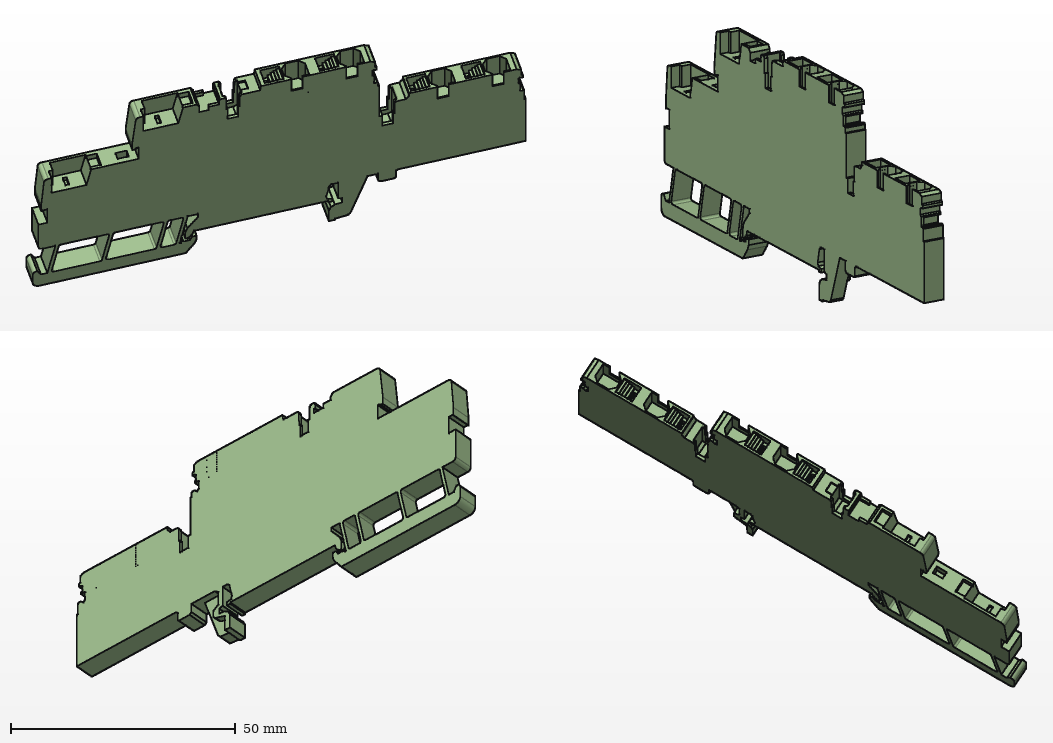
import cadquery as cq


thickness = 5.1
length = 114.39
height = 51.65
left_x = -thickness / 2
right_x = thickness / 2
front_y = -length / 2
back_y = length / 2

body_bottom_z = 12.5
rail_seat_z = 7.0
tier_drop = 13.84
tier_offset = 33.9
lower_top_z = height - tier_drop
upper_shoulder_z = 50.25
lower_shoulder_z = 36.05


def extrude_outline(points, x_start=left_x, x_end=right_x):
    """Prism along X between two X positions, from (y, z) outline points."""
    outline = cq.Workplane("YZ", origin=(x_start, 0, 0)).polyline(points).close()
    return outline.extrude(x_end - x_start)


def box(x_range, y_range, z_range):
    """Axis-aligned box from its three (low, high) ranges."""
    sizes = [high - low for low, high in (x_range, y_range, z_range)]
    corner = (x_range[0], y_range[0], z_range[0])
    return cq.Workplane("XY").box(*sizes, centered=False).translate(corner)


def round_corner(body, y, z, radius):
    """Fillet the outline corner at (y, z)."""
    corner = cq.selectors.NearestToPointSelector((0, y, z))
    return body.edges("|X").edges(corner).fillet(radius)


upper_end_y = 23.25
marker_groove_y = 22.0
marker_ledge_z = 48.55
seat_front_y = -18.5
upper_lug_y = -33.2
lower_lug_y = -54.5
lug_radius = 1.0
housing_front_y = -55.85
housing_corner_radius = 0.9
trench_width = 2.5
trench_ledge = 0.3
trench_shoulder = 3.4
lower_trench = (23.95, 28.75)
upper_trench = (-11.95, 42.95)


def tier_end(y_shift, z_shift):
    """Rear end of a wire tier, from its shoulder up to its top edge."""
    points = [
        (22.95, 43.7),
        (22.7, 43.95),
        (marker_groove_y, 43.95),
        (marker_groove_y, 46.4),
        (21.6, 46.7),
        (21.6, 48.1),
        (22.0, 48.4),
        (22.65, 48.4),
        (22.65, 49.1),
        (22.25, 49.4),
        (22.25, 51.1),
        (21.15, height),
    ]
    return [(y + y_shift, z + z_shift) for y, z in points]


def trench_floor(trench):
    """Lower part of a trench from its rear wall to its front wall, with a small ledge each side."""
    front, floor = trench
    rear = front + trench_width
    ledge = floor + trench_shoulder
    return [
        (rear + trench_ledge, ledge),
        (rear, ledge),
        (rear, floor),
        (front, floor),
        (front, ledge),
        (front - trench_ledge, ledge),
    ]


def housing():
    lower_tier = [
        (back_y, body_bottom_z),
        (back_y, 26.9),
        (56.85, 27.0),
        *tier_end(tier_offset, -tier_drop),
        (30.15, lower_top_z),
        (30.15, 37.0),
        (29.35, lower_shoulder_z),
        (27.6, lower_shoulder_z),
        (27.1, 35.95),
        (26.75, 35.65),
    ]
    upper_tier = [
        (upper_end_y, 42.5),
        (22.95, 42.6),
        *tier_end(0, 0),
        (-4.2, height),
        (-4.4, upper_shoulder_z),
        (-8.75, upper_shoulder_z),
        (-9.1, 49.6),
    ]
    jumper_tiers = [
        (-12.25, 49.8),
        (-12.6, upper_shoulder_z),
        (-13.7, upper_shoulder_z),
        (-13.95, 49.6),
        (-13.95, marker_ledge_z),
        (seat_front_y, marker_ledge_z),
        (seat_front_y, 49.3),
        (-19.15, upper_shoulder_z),
        (upper_lug_y, upper_shoulder_z),
        (-34.15, 41.3),
        (-34.05, 39.5),
        (-33.3, 39.5),
        (-33.15, 39.85),
        (-32.6, 39.85),
        (-32.6, lower_shoulder_z),
        (lower_lug_y, lower_shoulder_z),
        (-55.2, 27.6),
        (-55.15, 25.4),
        (-55.0, 25.65),
        (-53.75, 25.65),
        (-53.75, 21.1),
        (housing_front_y, 21.1),
        (housing_front_y, body_bottom_z),
    ]
    rail_seat = [
        (-18.8, body_bottom_z),
        (-18.8, 11.5),
        (-21.3, 8.5),
        (-21.75, 7.2),
        (-21.75, 4.9),
        (-21.3, 4.9),
        (-20.2, 5.8),
        (-19.8, rail_seat_z),
        (11.4, rail_seat_z),
        (11.4, 6.6),
        (12.35, 6.6),
        (12.35, 7.5),
        (11.1, 7.8),
        (10.9, 8.6),
        (11.6, 11.9),
        (12.1, body_bottom_z),
    ]
    peg = [
        (22.95, body_bottom_z),
        (22.95, 10.2),
        (23.5, 9.7),
        (26.7, 9.7),
        (27.1, 10.1),
        (27.1, 12.1),
        (27.5, body_bottom_z),
    ]
    upper_tier_foot = (upper_end_y, lower_trench[1] + trench_shoulder)
    lower_walls = trench_floor(lower_trench)[:-1] + [upper_tier_foot]
    body = extrude_outline(
        lower_tier + lower_walls + upper_tier + trench_floor(upper_trench)
        + jumper_tiers + rail_seat + peg
    )
    body = round_corner(body, upper_lug_y, upper_shoulder_z, lug_radius)
    body = round_corner(body, lower_lug_y, lower_shoulder_z, lug_radius)
    return round_corner(body, housing_front_y, body_bottom_z, housing_corner_radius)


bar_top_z = 3.8
jaw_lip_z = 5.2
lip_radius = 1.0
bar_corner_radius = 1.6
leg_thickness = 0.9
leg_centers = [-22.6, -27.15, -39.8, -52.4]
leg_lean = 0.215
leg_mid_z = (body_bottom_z + bar_top_z) / 2
leg_overlap = 0.5
window_fillet = 0.55


def slanted_block(rear_mid_y, front_mid_y, low_z, high_z):
    """Prism between two slanted faces given by their Y at half leg height."""
    low_shift = leg_lean * (low_z - leg_mid_z)
    high_shift = leg_lean * (high_z - leg_mid_z)
    return extrude_outline([
        (rear_mid_y + high_shift, high_z),
        (front_mid_y + high_shift, high_z),
        (front_mid_y + low_shift, low_z),
        (rear_mid_y + low_shift, low_z),
    ])


def rail_foot():
    bar = extrude_outline([
        (-53.9, bar_top_z),
        (-55.25, bar_top_z),
        (-56.1, jaw_lip_z),
        (front_y, jaw_lip_z),
        (front_y, 0),
        (-21.7, 0),
        (-19.6, 2.75),
        (-19.15, 3.9),
        (-19.15, jaw_lip_z),
        (-20.2, jaw_lip_z),
        (-20.7, 4.2),
        (-22.2, 4.2),
        (-22.7, 4.7),
        (-22.7, bar_top_z),
    ])
    bar = round_corner(bar, front_y, jaw_lip_z, lip_radius)
    bar = round_corner(bar, front_y, 0, bar_corner_radius)
    half_leg = leg_thickness / 2
    frame = slanted_block(
        leg_centers[0] + half_leg,
        leg_centers[-1] - half_leg,
        bar_top_z - leg_overlap,
        body_bottom_z + leg_overlap,
    )
    foot = bar.union(frame)
    for rear_leg, front_leg in zip(leg_centers, leg_centers[1:]):
        window = slanted_block(rear_leg - half_leg, front_leg + half_leg, bar_top_z, body_bottom_z)
        foot = foot.cut(window.edges("|X").fillet(window_fillet))
    return foot


lever_inset = 1.75


def rail_latch():
    arm = extrude_outline([
        (13.65, body_bottom_z + leg_overlap),
        (13.65, 7.2),
        (14.65, 6.85),
        (14.65, 5.5),
        (12.9, 5.3),
        (12.0, 4.7),
        (11.5, 3.7),
        (11.5, 0),
        (12.95, 0),
        (13.0, 4.0),
        (15.8, 4.9),
        (16.4, 5.4),
        (16.4, 7.2),
        (14.95, 8.15),
        (14.95, 11.8),
        (16.0, body_bottom_z),
        (16.0, body_bottom_z + leg_overlap),
    ])
    lever = extrude_outline(
        [
            (20.5, body_bottom_z + leg_overlap),
            (14.5, body_bottom_z + leg_overlap),
            (14.5, 7.6),
            (15.6, 6.0),
            (12.5, 3.9),
            (12.5, 0.3),
            (16.0, 0.7),
            (16.6, 1.4),
            (20.5, body_bottom_z),
        ],
        left_x + lever_inset,
    )
    return arm.union(lever)


entries_per_tier = 2
entry_pitch = 12.75
funnel_rear_y = 19.8
funnel_length = 5.5
funnel_half_width = 2.25
funnel_rear_chamfer = 1.2
funnel_front_chamfer = 1.3
funnel_depth = 6.0
funnel_side_opening = 2.6
funnel_opening_depth = 4.0
spring_slot_gap = 0.3
spring_slot_length = 4.4
spring_slot_half_width = 1.9
spring_slot_steps = [
    (0.0, 0.8),
    (0.7, 1.2),
    (1.3, 1.6),
    (2.0, 2.2),
    (2.7, 3.0),
]
clamp_window_half_width = 1.1
clamp_window_length = 1.0
clamp_window_depth = 4.5
clamp_window_gap = 0.35


def wire_entry(rear_y, top_z):
    """Cut body of one wire entry whose funnel starts at rear_y and runs towards -Y."""
    front = rear_y - funnel_length
    funnel_floor = top_z - funnel_depth
    funnel = (
        cq.Workplane("XY", origin=(0, 0, funnel_floor))
        .polyline([
            (funnel_half_width, rear_y),
            (-funnel_half_width + funnel_rear_chamfer, rear_y),
            (-funnel_half_width, rear_y - funnel_rear_chamfer),
            (-funnel_half_width, front + funnel_front_chamfer),
            (-funnel_half_width + funnel_front_chamfer, front),
            (funnel_half_width - funnel_front_chamfer, front),
            (funnel_half_width, front + funnel_front_chamfer),
        ])
        .close()
        .extrude(funnel_depth)
    )
    opening_front = front + funnel_front_chamfer
    opening = box(
        (0, right_x),
        (opening_front, opening_front + funnel_side_opening),
        (top_z - funnel_opening_depth, top_z),
    )
    entry = funnel.union(opening)

    slot_rear = front - spring_slot_gap
    slot_front = slot_rear - spring_slot_length
    slot_x = (-spring_slot_half_width, spring_slot_half_width)
    for distance, depth in spring_slot_steps:
        entry = entry.union(box(slot_x, (slot_front, slot_rear - distance), (top_z - depth, top_z)))
    clamp_front = slot_front + clamp_window_gap
    clamp_window = box(
        (-clamp_window_half_width, clamp_window_half_width),
        (clamp_front, clamp_front + clamp_window_length),
        (top_z - clamp_window_depth, top_z),
    )
    return entry.union(clamp_window)


def cut_wire_entries(body):
    for tier_y, top_z in ((funnel_rear_y, height), (funnel_rear_y + tier_offset, lower_top_z)):
        for index in range(entries_per_tier):
            body = body.cut(wire_entry(tier_y - index * entry_pitch, top_z))
    return body


trench_slot_half_width = 1.75
trench_slot_depth = 1.5
trench_slot_reach = 0.95
trench_slot_end_rise = 0.35


def cut_trench_slots(body):
    """The lower slot reaches into the rear wall only, the upper slot into both walls."""
    slots = (
        (lower_trench, lower_shoulder_z, 0),
        (upper_trench, upper_shoulder_z, trench_slot_reach),
    )
    for (front, trench_floor_z), top_z, front_reach in slots:
        rear = front + trench_width
        floor_z = trench_floor_z - trench_slot_depth
        end_z = floor_z + trench_slot_end_rise
        floor_points = [(front, floor_z), (rear, floor_z), (rear + trench_slot_reach, end_z)]
        top_points = [(rear + trench_slot_reach, top_z), (front - front_reach, top_z)]
        if front_reach:
            top_points.append((front - front_reach, end_z))
        slot = extrude_outline(
            floor_points + top_points, -trench_slot_half_width, trench_slot_half_width
        )
        body = body.cut(slot)
    return body


marker_wall = 0.65
seat_rear_y = -13.6
seat_middle_y = -16.3
marker_seat_depth = 1.1
marker_groove_depth = 1.2


def cut_marker_seat(body):
    """Seat in front of the upper trench: sunk floor between two half-length side walls."""
    seat_z = (marker_ledge_z - marker_seat_depth, marker_ledge_z)
    rear_half_y = (seat_middle_y, seat_rear_y)
    front_half_y = (seat_front_y, seat_middle_y)
    rear_half = box((left_x, right_x - marker_wall), rear_half_y, seat_z)
    front_half = box((left_x + marker_wall, right_x), front_half_y, seat_z)
    return body.cut(rear_half).cut(front_half)


def cut_marker_grooves(body):
    """Deeper stretch of each tier's marker groove, open on the -X side."""
    for y_shift, z_shift in ((0, 0), (tier_offset, -tier_drop)):
        groove_y = marker_groove_y + y_shift
        inner_y = groove_y - marker_groove_depth
        groove = extrude_outline(
            [
                (groove_y, 46.0 + z_shift),
                (inner_y, 46.0 + z_shift),
                (inner_y, 43.8 + z_shift),
                (inner_y + 0.5, 43.3 + z_shift),
                (groove_y, 43.95 + z_shift),
            ],
            left_x,
            right_x - marker_wall,
        )
        body = body.cut(groove)
    return body


upper_cavity_y = -22.3
lower_cavity_y = -43.6
shaft_wall = 0.65
cavity_depth = 5.0
cavity_slope = 1.1
cavity_length = 8.3
cavity_corner_length = 0.9
cavity_corner_x = 0.4
test_pocket_depth = 1.5
test_pocket_length = 2.5
test_pocket_x = (-1.55, 1.85)
contact_hole_x = (-0.9, 1.3)
contact_hole_length = 0.9
contact_hole_distance = 4.7
contact_hole_depth = 1.0


def jumper_shaft(rear_y, top_z):
    """Cut body of one jumper shaft: the cavity starts at rear_y and is open on the +X side."""
    floor_z = top_z - cavity_depth
    front = rear_y - cavity_length
    cavity = extrude_outline(
        [
            (rear_y, top_z),
            (rear_y - cavity_slope, floor_z),
            (front, floor_z),
            (front, top_z),
        ],
        left_x + shaft_wall,
    )
    corner = box(
        (cavity_corner_x, right_x), (front - cavity_corner_length, front), (floor_z, top_z)
    )
    pocket = box(
        test_pocket_x, (rear_y, rear_y + test_pocket_length), (top_z - test_pocket_depth, top_z)
    )
    hole_rear = rear_y - contact_hole_distance
    hole = box(
        contact_hole_x,
        (hole_rear - contact_hole_length, hole_rear),
        (floor_z - contact_hole_depth, floor_z),
    )
    return cavity.union(corner).union(pocket).union(hole)


def cut_jumper_shafts(body):
    upper_shaft = jumper_shaft(upper_cavity_y, upper_shoulder_z)
    lower_shaft = jumper_shaft(lower_cavity_y, lower_shoulder_z)
    return body.cut(upper_shaft).cut(lower_shaft)


test_hole_x = (-0.5, 1.25)
test_hole_y = (-37.1, -34.5)
test_hole_depth = 2.5
catch_recess_x = (-1.2, 1.2)
catch_recess_y = (-8.75, -6.8)
catch_recess_depth = 0.5


def cut_top_openings(body):
    test_hole = box(
        test_hole_x, test_hole_y, (lower_shoulder_z - test_hole_depth, lower_shoulder_z)
    )
    catch_recess = box(
        catch_recess_x, catch_recess_y, (upper_shoulder_z - catch_recess_depth, upper_shoulder_z)
    )
    return body.cut(test_hole).cut(catch_recess)


terminal = housing().union(rail_foot()).union(rail_latch())
terminal = cut_wire_entries(terminal)
terminal = cut_trench_slots(terminal)
terminal = cut_marker_seat(terminal)
terminal = cut_marker_grooves(terminal)
terminal = cut_jumper_shafts(terminal)
result = cut_top_openings(terminal)